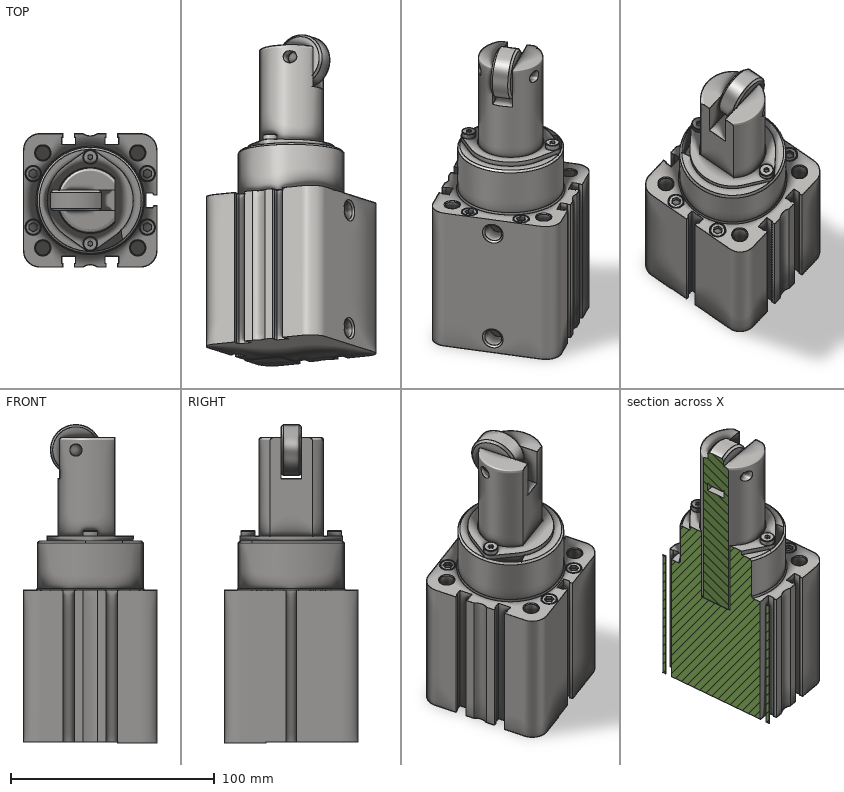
import cadquery as cq
import math


TOTAL_HEIGHT = 156.3
OVERCUT = 1.5

BODY_WIDTH = 65.5
BODY_HALF = BODY_WIDTH / 2
BODY_CORNER_RADIUS = 8.1
BODY_BOTTOM = 0.5
BODY_TOP = 75.0
HEAD_HEIGHT = 14.4
PAD_SIDE_Y = 20.5

SIDE_SLOT_OFFSET = 10.6
SIDE_SLOT_MOUTH = 5.6
SIDE_SLOT_INNER = 6.5
SIDE_SLOT_LIP = 1.9
END_SLOT_MOUTH = 5.2
END_SLOT_INNER = 7.0
END_SLOT_LIP = 1.5
END_SLOT_SLANT = 0.6
SLOT_DEPTH = 5.3
GROOVE_WIDTH = 7.0
GROOVE_DEPTH = 1.1

MOUNT_HOLE_OFFSET = 23.3
MOUNT_HOLE_DIAMETER = 7.0
MOUNT_HOLE_MOUTH = 8.0
MOUNT_HOLE_DEPTH = 15.0
PORT_DIAMETER = 8.6
PORT_MOUTH = 10.5
PORT_DEPTH = 10.0
PORT_HEIGHTS = (8.5, 67.2)

BODY_SCREW_X = 28.0
BODY_SCREW_Y = 13.1
BODY_SCREW_HEAD = 7.0
BODY_SCREW_RECESS = 8.0
BODY_SCREW_GAP_DEPTH = 1.5
BODY_SCREW_HEX = 4.5
BODY_SCREW_HEX_DEPTH = 2.0

COLLAR_DIAMETER = 52.0
COLLAR_RADIUS = COLLAR_DIAMETER / 2
COLLAR_TOP = 99.2
COLLAR_CHAMFER = 1.0
FOOT_DIAMETER = 53.3
FOOT_HEIGHT = 1.0
POCKET_INNER_RADIUS = 20.3
POCKET_START_X = -2.3
POCKET_WALL_X = 15.5
POCKET_WALL_Y = -16.9
POCKET_WALL_ANGLE = 9.0
POCKET_DEPTH = 15.6

PLATE_TOP = 101.5
PLATE_RADIUS = 21.1
PLATE_SCREW_Y = 21.3
PLATE_TIP_Y = 21.5
PLATE_TIP_RADIUS = 3.6
PLATE_SCREW_HEAD = 7.0
PLATE_SCREW_HEIGHT = 2.7
PLATE_SCREW_CHAMFER = 0.3
PLATE_SCREW_HEX = 2.7
PLATE_SCREW_HEX_DEPTH = 1.5

ROD_RADIUS = 31.7 / 2
ROD_FLAT_X = 12.0
ROD_TOP = 150.0
ROD_TOP_FILLET = 1.5
ROD_BOTTOM = BODY_TOP - HEAD_HEIGHT
ROD_ROUND_CLEARANCE = 0.39
ROD_FLAT_CLEARANCE = 0.2
FORK_WIDTH = 10.0
FORK_FLOOR = 129.7

ROLLER_RADIUS = 25.0 / 2
ROLLER_X = -7.0
ROLLER_Z = TOTAL_HEIGHT - ROLLER_RADIUS
ROLLER_CHAMFER = 1.1
PIN_DIAMETER = 6.0
PIN_HALF_LENGTH = 10.0



def vertical_cylinder(x, y, bottom, top, radius):
    return cq.Workplane("XY", origin=(x, y, bottom)).circle(radius).extrude(top - bottom)


def hexagon_cutter(x, y, top, across_corners, depth):
    """Hexagon socket with two of its corners on the Y direction."""
    return (
        cq.Workplane("XY", origin=(x, y, top - depth))
        .transformed(rotate=(0, 0, 90))
        .polygon(6, across_corners)
        .extrude(depth + OVERCUT)
    )


def chamfered_hole(mouth_centre, direction, bore, mouth, depth):
    """Cutter for a blind hole along direction, with a 45 degree chamfer at its mouth."""
    centre = cq.Vector(*mouth_centre)
    axis = cq.Vector(*direction)
    chamfer = (mouth - bore) / 2
    hole = cq.Solid.makeCylinder(bore / 2, depth, centre, axis)
    countersink = cq.Solid.makeCone(mouth / 2, bore / 2, chamfer, centre, axis)
    return hole.fuse(countersink)


def flatted_circle(radius, flat_x):
    """Circle on the cylinder axis with a flat on its +X side."""
    flat_y = math.sqrt(radius**2 - flat_x**2)
    return (
        cq.Workplane("XY")
        .moveTo(flat_x, -flat_y)
        .lineTo(flat_x, flat_y)
        .threePointArc((-radius, 0), (flat_x, -flat_y))
        .close()
    )



def body_block():
    block = (
        cq.Workplane("XY", origin=(0, 0, BODY_BOTTOM))
        .rect(BODY_WIDTH, BODY_WIDTH)
        .extrude(BODY_TOP - BODY_BOTTOM)
    )
    pad_start_x = SIDE_SLOT_OFFSET + SIDE_SLOT_MOUTH / 2
    pad = (
        cq.Workplane("XY")
        .moveTo(pad_start_x, -BODY_HALF)
        .rect(BODY_HALF - pad_start_x, PAD_SIDE_Y, centered=False)
        .extrude(BODY_BOTTOM)
    )
    return block.union(pad).edges("|Z and (>X or <X)").edges(">Y or <Y").fillet(BODY_CORNER_RADIUS)


def t_slot(mouth, inner, lip, slant):
    """T-slot cutter in the +X side at Y = 0, over the full height of the body."""
    lip_x = BODY_HALF - lip
    upper_half = [
        (BODY_HALF + OVERCUT, mouth / 2),
        (lip_x, mouth / 2),
        (lip_x - slant, inner / 2),
        (BODY_HALF - SLOT_DEPTH, inner / 2),
    ]
    lower_half = [(x, -y) for x, y in reversed(upper_half)]
    return cq.Workplane("XY").polyline(upper_half + lower_half).close().extrude(BODY_TOP)


def side_groove():
    """Shallow round groove along the middle of the +X side."""
    radius = ((GROOVE_WIDTH / 2) ** 2 + GROOVE_DEPTH**2) / (2 * GROOVE_DEPTH)
    return vertical_cylinder(BODY_HALF - GROOVE_DEPTH + radius, 0, 0, BODY_TOP, radius)


def body_grooves():
    cutters = t_slot(END_SLOT_MOUTH, END_SLOT_INNER, END_SLOT_LIP, END_SLOT_SLANT)
    side_slot = t_slot(SIDE_SLOT_MOUTH, SIDE_SLOT_INNER, SIDE_SLOT_LIP, 0)
    for turn in (90, -90):
        for offset in (SIDE_SLOT_OFFSET, -SIDE_SLOT_OFFSET):
            turned_slot = side_slot.translate((0, offset, 0)).rotate((0, 0, 0), (0, 0, 1), turn)
            cutters = cutters.union(turned_slot)
        cutters = cutters.union(side_groove().rotate((0, 0, 0), (0, 0, 1), turn))
    return cutters


def cut_mounting_holes(housing):
    for x in (-MOUNT_HOLE_OFFSET, MOUNT_HOLE_OFFSET):
        for y in (-MOUNT_HOLE_OFFSET, MOUNT_HOLE_OFFSET):
            hole = chamfered_hole(
                (x, y, BODY_TOP), (0, 0, -1), MOUNT_HOLE_DIAMETER, MOUNT_HOLE_MOUTH, MOUNT_HOLE_DEPTH
            )
            housing = housing.cut(cq.Workplane(hole))
    return housing


def cut_ports(housing):
    for height in PORT_HEIGHTS:
        port = chamfered_hole(
            (-BODY_HALF, 0, height), (1, 0, 0), PORT_DIAMETER, PORT_MOUTH, PORT_DEPTH
        )
        housing = housing.cut(cq.Workplane(port))
    return housing


def cut_body_screws(housing):
    """A thin ring gap and a hexagon socket mark each screw head flush with the body top."""
    gap_bottom = BODY_TOP - BODY_SCREW_GAP_DEPTH
    for x in (-BODY_SCREW_X, BODY_SCREW_X):
        for y in (-BODY_SCREW_Y, BODY_SCREW_Y):
            recess = vertical_cylinder(x, y, gap_bottom, BODY_TOP, BODY_SCREW_RECESS / 2)
            head = vertical_cylinder(x, y, gap_bottom, BODY_TOP, BODY_SCREW_HEAD / 2)
            socket = hexagon_cutter(x, y, BODY_TOP, BODY_SCREW_HEX, BODY_SCREW_HEX_DEPTH)
            housing = housing.cut(recess.cut(head)).cut(socket)
    return housing


def collar():
    """Guide collar with a flared foot, a chamfered rim and a pocket beside the cover plate."""
    half_section = [
        (0, BODY_TOP),
        (FOOT_DIAMETER / 2, BODY_TOP),
        (COLLAR_RADIUS, BODY_TOP + FOOT_HEIGHT),
        (COLLAR_RADIUS, COLLAR_TOP - COLLAR_CHAMFER),
        (COLLAR_RADIUS - COLLAR_CHAMFER, COLLAR_TOP),
        (0, COLLAR_TOP),
    ]
    ring = cq.Workplane("XZ").polyline(half_section).close().revolve(360, (0, 0), (0, 1))
    return ring.cut(collar_pocket())


def collar_pocket():
    """Part of a ring just inside the rim, cut off by two flat end walls, on the -Y side."""
    ring = (
        cq.Workplane("XY", origin=(0, 0, COLLAR_TOP - POCKET_DEPTH))
        .circle(COLLAR_RADIUS - COLLAR_CHAMFER)
        .circle(POCKET_INNER_RADIUS)
        .extrude(POCKET_DEPTH)
    )
    wall_slope = math.tan(math.radians(POCKET_WALL_ANGLE))
    wall_inner_x = POCKET_WALL_X + POCKET_WALL_Y * wall_slope
    wall_outer_x = wall_inner_x + COLLAR_RADIUS * wall_slope
    corners = [
        (POCKET_START_X, 0),
        (wall_inner_x, 0),
        (wall_outer_x, -COLLAR_RADIUS),
        (POCKET_START_X, -COLLAR_RADIUS),
    ]
    limits = cq.Workplane("XY").polyline(corners).close().extrude(COLLAR_TOP)
    return ring.intersect(limits)


def cover_plate():
    """Disc drawn out to a round tip at each screw by lines tangent to both rounds."""
    cosine = (PLATE_RADIUS - PLATE_TIP_RADIUS) / PLATE_TIP_Y
    sine = math.sqrt(1 - cosine**2)
    disc_x = PLATE_RADIUS * sine
    disc_y = PLATE_RADIUS * cosine
    tip_x = PLATE_TIP_RADIUS * sine
    tip_y = PLATE_TIP_Y + PLATE_TIP_RADIUS * cosine
    tip_end = PLATE_TIP_Y + PLATE_TIP_RADIUS
    return (
        cq.Workplane("XY", origin=(0, 0, COLLAR_TOP))
        .moveTo(disc_x, -disc_y)
        .threePointArc((PLATE_RADIUS, 0), (disc_x, disc_y))
        .lineTo(tip_x, tip_y)
        .threePointArc((0, tip_end), (-tip_x, tip_y))
        .lineTo(-disc_x, disc_y)
        .threePointArc((-PLATE_RADIUS, 0), (-disc_x, -disc_y))
        .lineTo(-tip_x, -tip_y)
        .threePointArc((0, -tip_end), (tip_x, -tip_y))
        .close()
        .extrude(PLATE_TOP - COLLAR_TOP)
    )


def plate_screw_head(y):
    top = PLATE_TOP + PLATE_SCREW_HEIGHT
    head = vertical_cylinder(0, y, PLATE_TOP, top, PLATE_SCREW_HEAD / 2)
    socket = hexagon_cutter(0, y, top, PLATE_SCREW_HEX, PLATE_SCREW_HEX_DEPTH)
    return head.faces(">Z").edges().chamfer(PLATE_SCREW_CHAMFER).cut(socket)


def make_housing():
    housing = body_block().cut(body_grooves())
    housing = cut_mounting_holes(housing)
    housing = cut_ports(housing)
    housing = cut_body_screws(housing)
    housing = housing.union(collar()).union(cover_plate())
    for y in (-PLATE_SCREW_Y, PLATE_SCREW_Y):
        housing = housing.union(plate_screw_head(y))
    bore_outline = flatted_circle(ROD_RADIUS + ROD_ROUND_CLEARANCE, ROD_FLAT_X + ROD_FLAT_CLEARANCE)
    rod_bore = bore_outline.extrude(PLATE_TOP - ROD_BOTTOM)
    return housing.cut(rod_bore.translate((0, 0, ROD_BOTTOM)))



def cylinder_along_y(half_length, radius):
    """Cylinder on the roller axis, centred on Y = 0."""
    return (
        cq.Workplane("XZ", origin=(ROLLER_X, half_length, ROLLER_Z))
        .circle(radius)
        .extrude(2 * half_length)
    )


def make_rod():
    """Rod with a forked top, and the roller and pin that travel with it."""
    bar = vertical_cylinder(0, 0, ROD_BOTTOM, ROD_TOP, ROD_RADIUS)
    bar = bar.faces(">Z").edges().fillet(ROD_TOP_FILLET)
    bar = bar.intersect(flatted_circle(ROD_RADIUS, ROD_FLAT_X).extrude(ROD_TOP))
    fork_slot = (
        cq.Workplane("XY", origin=(0, 0, FORK_FLOOR))
        .rect(2 * (ROD_RADIUS + OVERCUT), FORK_WIDTH)
        .extrude(ROD_TOP - FORK_FLOOR)
    )
    pin_hole = cylinder_along_y(ROD_RADIUS, PIN_DIAMETER / 2)
    pin = cylinder_along_y(PIN_HALF_LENGTH, PIN_DIAMETER / 2)
    roller = cylinder_along_y(FORK_WIDTH / 2, ROLLER_RADIUS)
    roller = roller.faces("<Y or >Y").edges().chamfer(ROLLER_CHAMFER)
    return bar.cut(fork_slot).cut(pin_hole).union(roller).union(pin)


housing = make_housing()
rod = make_rod()

result = cq.Compound.makeCompound([housing.solids().val(), rod.solids().val()])